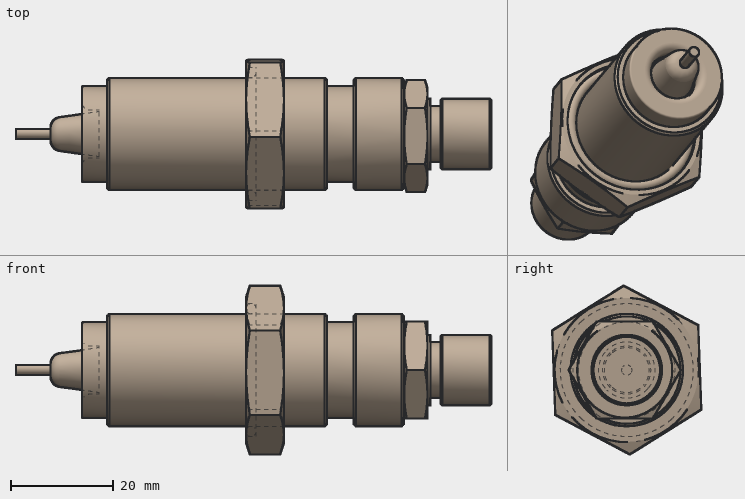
import cadquery as cq
import math


tip_x = 0.0
nose_x = 6.75
housing_x = 12.9
barrel_x = 17.8
nut_x = 44.95
barrel_end_x = 60.85
collar_x = 66.0
housing_end_x = 75.85
flange_x = 80.5
neck_x = 81.0
thread_x = 82.95
thread_end_x = 93.0

pin_radius = 1.0
nose_flat_radius = 1.2
nose_fillet = 2.15
cone_angle = math.radians(8)
probe_base_radius = 4.4

barrel_radius = 11.0
spigot_radius = 9.4
spigot_edge_fillet = 0.35
barrel_chamfer = 0.5
bore_radius = 4.7
bore_mouth_fillet = 1.6

hex_chamfer_angle = math.radians(18)
nut_across_flats = 28.6
nut_face_radius = 14.1
nut_thickness = 7.5
nut_turn = 2.1
coupling_across_flats = 19.0
coupling_face_radius = 9.3
coupling_offset_y = -0.4

oring_section_radius = 1.0
oring_radius = barrel_radius + oring_section_radius

thread_radius = 6.9
thread_chamfer = 0.4
neck_radius = 5.5

nose_tangent_x = nose_x + nose_fillet * (1 - math.sin(cone_angle))
nose_tangent_radius = nose_flat_radius + nose_fillet * math.cos(cone_angle)
nose_mid_angle = (math.pi / 2 + cone_angle) / 2
nose_mid_x = nose_x + nose_fillet * (1 - math.sin(nose_mid_angle))
nose_mid_radius = nose_flat_radius + nose_fillet * math.cos(nose_mid_angle)
probe_base_x = nose_tangent_x + (probe_base_radius - nose_tangent_radius) / math.tan(cone_angle)


def turn(profile):
    """Revolve a closed (x, radius) profile about the X axis."""
    return profile.close().revolve(360, (0, 0, 0), (1, 0, 0))


def cylinder(start_x, end_x, radius):
    return cq.Workplane("YZ", origin=(start_x, 0, 0)).circle(radius).extrude(end_x - start_x)


def chamfered_hexagon(start_x, end_x, across_flats, face_radius):
    """Hexagon with two corners on the Z axis and both faces chamfered by a cone."""
    corner_radius = across_flats / math.sqrt(3)
    chamfer_depth = (corner_radius - face_radius) * math.tan(hex_chamfer_angle)
    prism = (
        cq.Workplane("YZ", origin=(start_x, 0, 0))
        .polygon(6, 2 * corner_radius)
        .extrude(end_x - start_x)
        .rotate((0, 0, 0), (1, 0, 0), 90)
    )
    envelope = turn(
        cq.Workplane("XY")
        .moveTo(start_x, 0)
        .lineTo(start_x, face_radius)
        .lineTo(start_x + chamfer_depth, corner_radius)
        .lineTo(end_x - chamfer_depth, corner_radius)
        .lineTo(end_x, face_radius)
        .lineTo(end_x, 0)
    )
    return prism.intersect(envelope)


def make_probe():
    """Thin pin growing out of a round-nosed cone that stands on the bore floor."""
    return turn(
        cq.Workplane("XY")
        .moveTo(tip_x, 0)
        .lineTo(tip_x, pin_radius)
        .lineTo(nose_x, pin_radius)
        .lineTo(nose_x, nose_flat_radius)
        .threePointArc((nose_mid_x, nose_mid_radius), (nose_tangent_x, nose_tangent_radius))
        .lineTo(probe_base_x, probe_base_radius)
        .lineTo(probe_base_x, 0)
    )


def make_housing():
    spigot = cylinder(housing_x, barrel_x, spigot_radius).faces("<X").fillet(spigot_edge_fillet)
    barrel = cylinder(barrel_x, barrel_end_x, barrel_radius).faces("<X or >X").chamfer(barrel_chamfer)
    groove_core = cylinder(barrel_end_x, collar_x, spigot_radius)
    collar = cylinder(collar_x, housing_end_x, barrel_radius).faces("<X or >X").chamfer(barrel_chamfer)
    body = spigot.union(barrel).union(groove_core).union(collar)

    mouth_radius = bore_radius + bore_mouth_fillet
    fillet_reach = bore_mouth_fillet * (1 - math.sqrt(0.5))
    bore = turn(
        cq.Workplane("XY")
        .moveTo(housing_x, 0)
        .lineTo(housing_x, mouth_radius)
        .threePointArc(
            (housing_x + fillet_reach, bore_radius + fillet_reach),
            (housing_x + bore_mouth_fillet, bore_radius),
        )
        .lineTo(probe_base_x, bore_radius)
        .lineTo(probe_base_x, 0)
    )
    return body.cut(bore)


def make_nut():
    """Lock nut around the barrel with a recess for the O-ring in its front face."""
    blank = chamfered_hexagon(nut_x, nut_x + nut_thickness, nut_across_flats, nut_face_radius)
    bore = cylinder(nut_x, nut_x + nut_thickness, barrel_radius)
    recess_radius = oring_radius + oring_section_radius
    recess = cylinder(nut_x, nut_x + 2 * oring_section_radius, recess_radius)
    return blank.cut(bore).cut(recess).rotate((0, 0, 0), (1, 0, 0), nut_turn)


def make_oring():
    return (
        cq.Workplane("XY")
        .center(nut_x + oring_section_radius, oring_radius)
        .circle(oring_section_radius)
        .revolve(360, (0, -oring_radius, 0), (1, -oring_radius, 0))
    )


def make_coupling():
    """Hexagon with a flange, a relief neck and a connector thread behind it."""
    hexagon = (
        chamfered_hexagon(housing_end_x, flange_x, coupling_across_flats, coupling_face_radius)
        .rotate((0, 0, 0), (1, 0, 0), 90)
        .translate((0, coupling_offset_y, 0))
    )
    flange = cylinder(flange_x, neck_x, thread_radius)
    neck = cylinder(neck_x, thread_x, neck_radius)
    thread = cylinder(thread_x, thread_end_x, thread_radius).faces("<X or >X").chamfer(thread_chamfer)
    return hexagon.union(flange).union(neck).union(thread)


probe = make_probe()
housing = make_housing()
nut = make_nut()
oring = make_oring()
coupling = make_coupling()

result = cq.Compound.makeCompound(
    [probe.val(), housing.val(), nut.val(), oring.val(), coupling.val()]
)